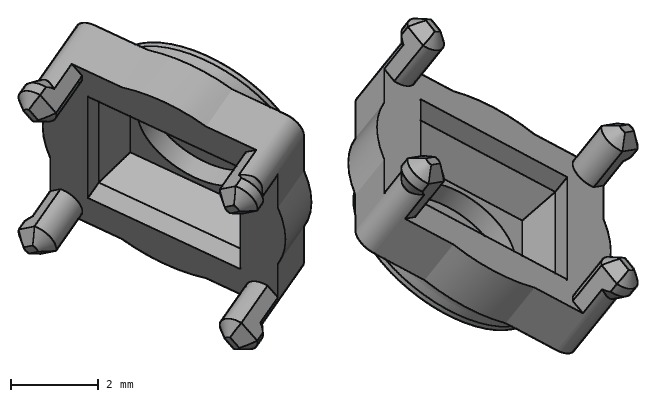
import cadquery as cq
import math


frame_side = 5.995
frame_depth = 1.2
corner_radius = 0.5
bulge_radius = 3.195

collar_radius = 2.52
flare_radius = 0.5
collar_straight = 0.2
collar_length = flare_radius + collar_straight
housing_depth = frame_depth + collar_length

plate_thickness = 0.13

mouth_side = 4.0
mouth_depth = 0.5
floor_side = 3.38
taper_depth = 0.9
bore_radius = 1.5

peg_offset = 2.645
peg_radius = 0.5
peg_width = 0.805
peg_length = 1.5
peg_tip_chamfer = 0.3
head_start = 0.94
head_cone_length = 0.3
head_cone_drop = 0.2


def plane_at(y):
    """Workplane across the axis at the given y: its normal is +Y, its local axes are +X and -Z."""
    return cq.Workplane(cq.Plane(origin=(0, y, 0), xDir=(1, 0, 0), normal=(0, 1, 0)))


def rounded_square(y, depth):
    return plane_at(y).rect(frame_side, frame_side).extrude(depth).edges("|Y").fillet(corner_radius)


def make_frame():
    disc = plane_at(0).circle(bulge_radius).extrude(frame_depth)
    return rounded_square(0, frame_depth).union(disc)


def make_collar():
    foot_radius = collar_radius + flare_radius
    flare_top = frame_depth + flare_radius
    arc_shift = flare_radius * math.sqrt(0.5)
    return (
        cq.Workplane("XY")
        .moveTo(0, frame_depth)
        .lineTo(foot_radius, frame_depth)
        .threePointArc((foot_radius - arc_shift, flare_top - arc_shift), (collar_radius, flare_top))
        .lineTo(collar_radius, housing_depth)
        .lineTo(0, housing_depth)
        .close()
        .revolve(360, (0, 0, 0), (0, 1, 0))
    )


def make_cavity():
    mouth = plane_at(0).rect(mouth_side, mouth_side).extrude(mouth_depth)
    taper = (
        plane_at(mouth_depth)
        .rect(mouth_side, mouth_side)
        .workplane(offset=taper_depth)
        .rect(floor_side, floor_side)
        .loft(ruled=True)
    )
    bore = plane_at(0).circle(bore_radius).extrude(housing_depth)
    return mouth.union(taper).union(bore)


def make_peg():
    """Peg at the +X +Z corner: a column trimmed to the frame outline, ending in an overhanging head."""
    tip_start = -peg_length + peg_tip_chamfer
    column = plane_at(tip_start).center(peg_offset, -peg_offset).circle(peg_radius).extrude(-tip_start)
    shaft = column.intersect(rounded_square(tip_start, -tip_start))

    cone_end = -head_start + head_cone_length
    head = (
        cq.Workplane("XY", origin=(peg_offset, 0, peg_offset))
        .moveTo(0, -peg_length)
        .lineTo(peg_radius - peg_tip_chamfer, -peg_length)
        .lineTo(peg_radius, tip_start)
        .lineTo(peg_radius, -head_start)
        .lineTo(peg_radius - head_cone_drop, cone_end)
        .lineTo(0, cone_end)
        .close()
        .revolve(360, (0, 0, 0), (0, 1, 0))
    )

    half_width = peg_width / 2
    half_tip_width = half_width - peg_tip_chamfer
    flats = (
        cq.Workplane("XY")
        .polyline([
            (-half_width, 0),
            (-half_width, tip_start),
            (-half_tip_width, -peg_length),
            (half_tip_width, -peg_length),
            (half_width, tip_start),
            (half_width, 0),
        ])
        .close()
        .extrude(2 * peg_radius, both=True)
        .rotate((0, 0, 0), (0, 1, 0), 45)
        .translate((peg_offset, 0, peg_offset))
    )
    return shaft.union(head).intersect(flats)


def make_housing():
    housing = make_frame().union(make_collar()).cut(make_cavity())
    peg = make_peg()
    for angle in (0, 90, 180, 270):
        housing = housing.union(peg.rotate((0, 0, 0), (0, 1, 0), angle))
    return housing


def make_cover_plate():
    return plane_at(housing_depth).circle(collar_radius).extrude(plate_thickness)


housing = make_housing()
cover_plate = make_cover_plate()
result = cq.Compound.makeCompound([housing.val(), cover_plate.val()])